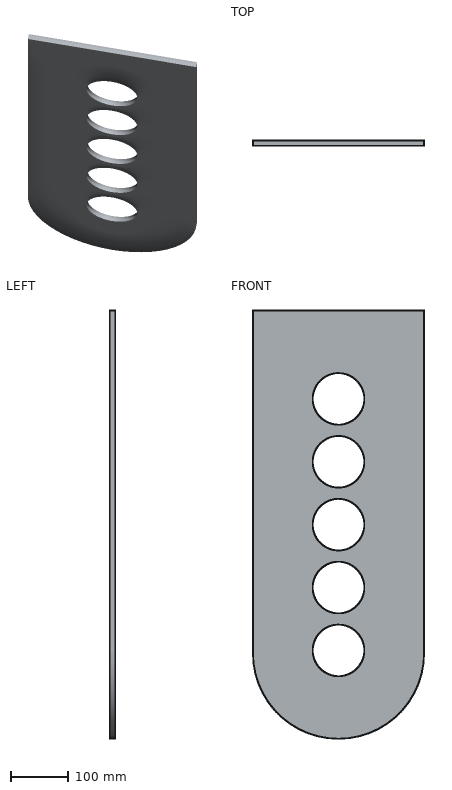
import cadquery as cq

height = 750.0
width = 300.0
thickness = 10.0
hole_diameter = 90.0
hole_count = 5
hole_row_length = 440.0

end_radius = width / 2
hole_pitch = hole_row_length / (hole_count - 1)
top = height / 2
bottom = -height / 2
arc_start = bottom + end_radius


def make_plate():
    """Upright plate, square at the top and fully rounded at the bottom."""
    return (
        cq.Workplane("XZ")
        .moveTo(-end_radius, top)
        .lineTo(end_radius, top)
        .lineTo(end_radius, arc_start)
        .threePointArc((0, bottom), (-end_radius, arc_start))
        .close()
        .extrude(thickness / 2, both=True)
    )


def make_holes():
    """Cylinders for the vertical row of through holes, centred on the plate."""
    return (
        cq.Workplane("XZ")
        .rarray(7.5, hole_pitch, 1, hole_count)
        .circle(hole_diameter / 2)
        .extrude(thickness, both=True)
    )


result = make_plate().cut(make_holes())